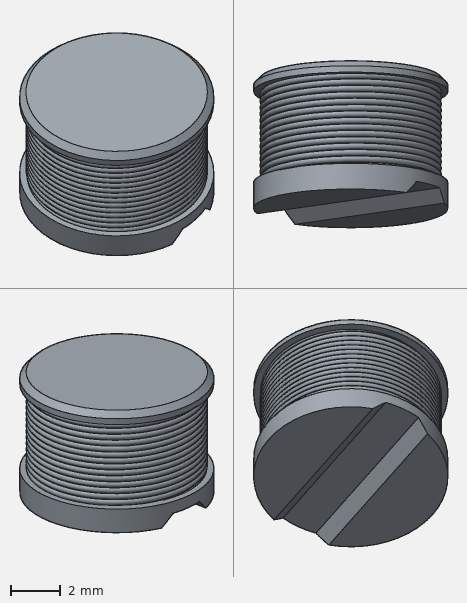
import cadquery as cq

flange_diameter = 7.8
total_height = 5.31

base_height = 1.05

cap_height = 0.52
cap_chamfer = cap_height / 2

channel_depth = base_height / 2
channel_roof_width = 1.56
channel_mouth_width = channel_roof_width + 2 * channel_depth

winding_diameter = 7.28
wire_diameter = 0.252
wire_pitch = 0.263
wire_exposure = 0.1
wire_turns = 16
wire_start_depth = 0.235
coil_radius = (winding_diameter - wire_diameter) / 2
core_diameter = winding_diameter - 2 * wire_exposure

cap_bottom = total_height - cap_height
wire_start = base_height - wire_start_depth


def make_base():
    """Lower flange with the trapezoidal channel cut through it along X."""
    base = cq.Workplane("XY").circle(flange_diameter / 2).extrude(base_height)
    channel = (
        cq.Workplane("YZ")
        .moveTo(-channel_mouth_width / 2, 0)
        .lineTo(channel_mouth_width / 2, 0)
        .lineTo(channel_roof_width / 2, channel_depth)
        .lineTo(-channel_roof_width / 2, channel_depth)
        .close()
        .extrude(flange_diameter, both=True)
    )
    return base.cut(channel)


def make_core():
    """Plain cylinder between the two flanges."""
    return (
        cq.Workplane("XY", origin=(0, 0, base_height))
        .circle(core_diameter / 2)
        .extrude(cap_bottom - base_height)
    )


def make_cap():
    """Upper flange with its top edge chamfered."""
    return (
        cq.Workplane("XY", origin=(0, 0, cap_bottom))
        .circle(flange_diameter / 2)
        .extrude(cap_height)
        .faces(">Z")
        .chamfer(cap_chamfer)
    )


def make_winding():
    """Round wire swept along a helix that starts on the +X side."""
    helix = cq.Wire.makeHelix(
        wire_pitch, wire_pitch * wire_turns, coil_radius, center=cq.Vector(0, 0, wire_start)
    )
    return (
        cq.Workplane("XZ", origin=(coil_radius, 0, wire_start))
        .circle(wire_diameter / 2)
        .sweep(cq.Workplane(helix), isFrenet=True)
    )


result = make_base().union(make_core()).union(make_winding()).union(make_cap())